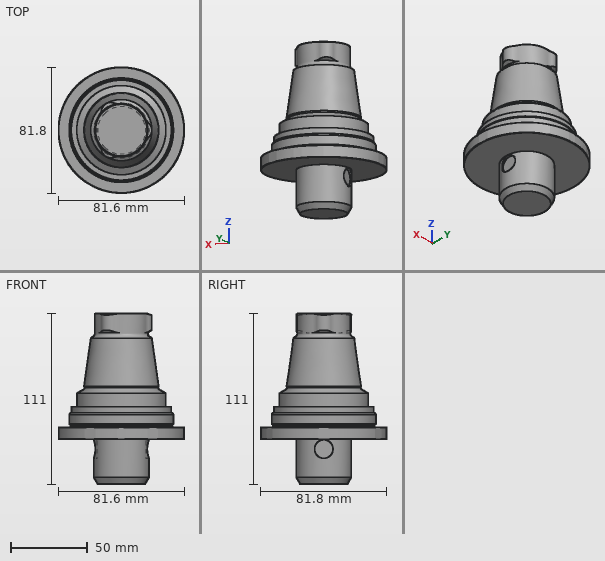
import cadquery as cq
import math

FLANGE_BOTTOM = 29.0
FLANGE_TOP = 37.0
BAND_BOTTOM = 39.1
BAND_TOP = 46.5
STEP_TOP = 50.4
COLLAR_TOP = 59.0
RELIEF_Z = 62.5
TAPER_BOTTOM = 63.5
TAPER_TOP = 94.9
NECK_BOTTOM = 96.0
NECK_TOP = 98.3
HEAD_TOP = 111.0

SHANK_R = 18.0
SHANK_CHAMFER = 2.5
SHANK_CHAMFER_ANGLE = 30.0
POCKET_D = 12.0
POCKET_Z = 22.75
POCKET_DEPTH = 2.0

FLANGE_R = 41.0
FLANGE_CHAMFER = 0.3
WIDE_FLAT_DISTANCE = 40.8
WIDE_FLAT_ANGLES = (0, 60, 120, 180, 240, 300)
NARROW_FLAT_DISTANCE = 40.9
NARROW_FLAT_ANGLES = (90, 270)

BAND_R = 34.0
BAND_EDGE_R = 33.05
BAND_CHAMFER_HEIGHT = 1.4
GROOVE_EDGE_R = 33.4
GROOVE_ROOT_R = 32.9
GROOVE_LEDGE_DROP = 0.25
STEP_R = 32.48
COLLAR_R = 29.0
COLLAR_CONE_ANGLE = 30.0
CONE_TOP_R = 24.8

RELIEF_R = 23.9

TAPER_BOTTOM_R = 24.35
TAPER_TOP_R = 19.9
NECK_BOTTOM_R = 18.3
NECK_R = 17.28

LOBE_COUNT = 3
LOBE_REACH = 19.85
LOBE_TIP_R = 6.0
LOBE_BLEND_R = 10.0
LOBE_UNDERSIDE_RISE = 1.8
LOBE_TOP_DROP = 0.8
HEAD_CHAMFER_WIDTH = 0.5
HEAD_CHAMFER_HEIGHT = 0.4


def polar(radius, angle):
    """XY point at a radius and an angle in degrees."""
    turn = math.radians(angle)
    return radius * math.cos(turn), radius * math.sin(turn)


def turned_body():
    """Shank, stepped body, tapered nose and neck as one turned profile."""
    shank_end_r = SHANK_R - SHANK_CHAMFER
    shank_chamfer_height = SHANK_CHAMFER / math.tan(math.radians(SHANK_CHAMFER_ANGLE))
    groove_top = BAND_BOTTOM - GROOVE_LEDGE_DROP
    groove_root_z = (groove_top + FLANGE_TOP) / 2

    cone = math.radians(COLLAR_CONE_ANGLE)
    cone_top_z = COLLAR_TOP + (COLLAR_R - CONE_TOP_R) * math.tan(cone)

    profile = (
        cq.Workplane("XZ")
        .moveTo(0, 0)
        .lineTo(shank_end_r, 0)
        .lineTo(SHANK_R, shank_chamfer_height)
        .lineTo(SHANK_R, FLANGE_TOP)
        .lineTo(GROOVE_EDGE_R, FLANGE_TOP)
        .lineTo(GROOVE_ROOT_R, groove_root_z)
        .lineTo(GROOVE_EDGE_R, groove_top)
        .lineTo(BAND_R, BAND_BOTTOM)
        .lineTo(BAND_R, BAND_TOP - BAND_CHAMFER_HEIGHT)
        .lineTo(BAND_EDGE_R, BAND_TOP)
        .lineTo(STEP_R, BAND_TOP)
        .lineTo(STEP_R, STEP_TOP)
        .lineTo(COLLAR_R, STEP_TOP)
        .lineTo(COLLAR_R, COLLAR_TOP)
        .lineTo(CONE_TOP_R, cone_top_z)
        .tangentArcPoint((RELIEF_R, RELIEF_Z), relative=False)
        .lineTo(TAPER_BOTTOM_R, TAPER_BOTTOM)
        .lineTo(TAPER_TOP_R, TAPER_TOP)
        .lineTo(NECK_BOTTOM_R, NECK_BOTTOM)
        .tangentArcPoint((NECK_R, NECK_TOP), relative=False)
        .lineTo(0, NECK_TOP)
        .close()
    )
    return profile.revolve(360, (0, 0, 0), (0, 1, 0))


def flange():
    """Flange disc with shallow flats around its rim and chamfered edges."""
    height = FLANGE_TOP - FLANGE_BOTTOM
    disc = cq.Workplane("XY").workplane(offset=FLANGE_BOTTOM).circle(FLANGE_R).extrude(height)
    disc = disc.faces("<Z or >Z").edges().chamfer(FLANGE_CHAMFER)
    flats = [(angle, WIDE_FLAT_DISTANCE) for angle in WIDE_FLAT_ANGLES]
    flats += [(angle, NARROW_FLAT_DISTANCE) for angle in NARROW_FLAT_ANGLES]
    for angle, distance in flats:
        cutter = (
            cq.Workplane("XY")
            .box(FLANGE_R, FLANGE_R, height, centered=(False, True, False))
            .translate((distance, 0, FLANGE_BOTTOM))
            .rotate((0, 0, 0), (0, 0, 1), angle)
        )
        disc = disc.cut(cutter)
    return disc


def head_outline():
    """Closed outline: a circle with lobes blended in by concave arcs."""
    tip_centre = LOBE_REACH - LOBE_TIP_R
    to_axis = NECK_R + LOBE_BLEND_R
    to_tip = LOBE_TIP_R + LOBE_BLEND_R
    blend_x = (to_axis**2 - to_tip**2 + tip_centre**2) / (2 * tip_centre)
    blend_y = math.sqrt(to_axis**2 - blend_x**2)
    blend_angle = math.degrees(math.atan2(blend_y, blend_x))

    tip_share = LOBE_TIP_R / to_tip
    tip_end_x = tip_centre + (blend_x - tip_centre) * tip_share
    tip_end_y = blend_y * tip_share
    tip_end_r = math.hypot(tip_end_x, tip_end_y)
    tip_end_angle = math.degrees(math.atan2(tip_end_y, tip_end_x))
    toward_axis = math.atan2(-blend_y, -blend_x)
    toward_tip = math.atan2(-blend_y, tip_centre - blend_x)
    mid_direction = (toward_axis + toward_tip) / 2
    mid_x = blend_x + LOBE_BLEND_R * math.cos(mid_direction)
    mid_y = blend_y + LOBE_BLEND_R * math.sin(mid_direction)
    mid_r = math.hypot(mid_x, mid_y)
    mid_angle = math.degrees(math.atan2(mid_y, mid_x))

    pitch = 360 / LOBE_COUNT
    outline = cq.Workplane("XY").workplane(offset=NECK_TOP)
    outline = outline.moveTo(*polar(NECK_R, -blend_angle))
    for lobe in range(LOBE_COUNT):
        at = lobe * pitch
        outline = (
            outline
            .threePointArc(polar(mid_r, at - mid_angle), polar(tip_end_r, at - tip_end_angle))
            .threePointArc(polar(LOBE_REACH, at), polar(tip_end_r, at + tip_end_angle))
            .threePointArc(polar(mid_r, at + mid_angle), polar(NECK_R, at + blend_angle))
            .threePointArc(polar(NECK_R, at + pitch / 2), polar(NECK_R, at + pitch - blend_angle))
        )
    return outline.close()


def head():
    """Lobed head, turned to a cone below the lobes and to chamfers on top."""
    prism = head_outline().extrude(HEAD_TOP - NECK_TOP)
    shoulder_z = HEAD_TOP - HEAD_CHAMFER_HEIGHT
    envelope = (
        cq.Workplane("XZ")
        .moveTo(0, NECK_TOP)
        .lineTo(NECK_R, NECK_TOP)
        .lineTo(LOBE_REACH, NECK_TOP + LOBE_UNDERSIDE_RISE)
        .lineTo(LOBE_REACH, shoulder_z - LOBE_TOP_DROP)
        .lineTo(NECK_R, shoulder_z)
        .lineTo(NECK_R - HEAD_CHAMFER_WIDTH, HEAD_TOP)
        .lineTo(0, HEAD_TOP)
        .close()
        .revolve(360, (0, 0, 0), (0, 1, 0))
    )
    return prism.intersect(envelope)


def shank_pockets():
    """Flat-bottomed round pockets on the -X and +X sides of the shank."""
    cutter = (
        cq.Workplane("YZ")
        .workplane(offset=SHANK_R - POCKET_DEPTH)
        .center(0, POCKET_Z)
        .circle(POCKET_D / 2)
        .extrude(POCKET_DEPTH)
    )
    return cutter.union(cutter.mirror("YZ"))


result = turned_body().union(flange()).union(head()).cut(shank_pockets())